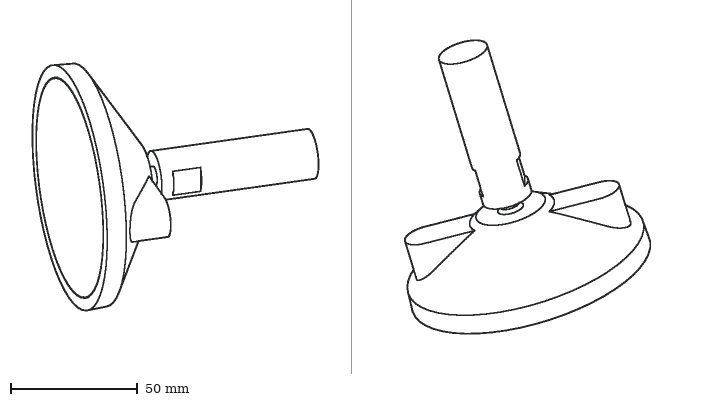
import cadquery as cq

rim_diameter = 98.0
rim_top_diameter = 97.1
rim_height = 8.1
cone_top_diameter = 28.5
cone_top = 30.0

pad_diameter = 87.5
pad_groove_diameter = 88.0
pad_groove_depth = 1.0

lug_span = 88.0
lug_width = 16.4
lug_top = 28.0

collar_diameter = 12.5
collar_tip_diameter = 7.8
collar_base_diameter = 10.5
collar_height = 1.5
neck_diameter = 7.8

stem_diameter = 20.0
stem_start = 35.0
total_length = 100.0
flat_start = 40.0
flat_length = 11.5
flats_across = 17.0


def cylinder(diameter, start, end):
    """Cylinder on the Y axis between two heights."""
    plane = cq.Plane(origin=(0, start, 0), xDir=(1, 0, 0), normal=(0, 1, 0))
    return cq.Workplane(plane).circle(diameter / 2).extrude(end - start)


def make_base():
    """Drafted rim, cone and flared collar turned about the Y axis."""
    profile = [
        (0, 0),
        (rim_diameter / 2, 0),
        (rim_top_diameter / 2, rim_height),
        (cone_top_diameter / 2, cone_top),
        (collar_base_diameter / 2, cone_top),
        (collar_tip_diameter / 2, cone_top + collar_height),
        (0, cone_top + collar_height),
    ]
    return cq.Workplane("XY").polyline(profile).close().revolve(360, (0, 0), (0, 1))


def make_lugs():
    """Round-ended bar across the cone, forming a lug on each side."""
    plane = cq.Plane(origin=(0, 0, 0), xDir=(1, 0, 0), normal=(0, 1, 0))
    return cq.Workplane(plane).slot2D(lug_span, lug_width).extrude(lug_top)


def make_stem():
    """Round stem with a pair of wrench flats facing +X and -X."""
    stem = cylinder(stem_diameter, stem_start, total_length)
    flat_depth = (stem_diameter - flats_across) / 2
    for side in (-1, 1):
        cutter = cq.Workplane("XY").box(flat_depth, flat_length, stem_diameter).translate(
            (side * (flats_across + flat_depth) / 2, flat_start + flat_length / 2, 0)
        )
        stem = stem.cut(cutter)
    return stem


pad_groove = cylinder(pad_groove_diameter, 0, pad_groove_depth).cut(
    cylinder(pad_diameter, 0, pad_groove_depth)
)
neck = cylinder(neck_diameter, cone_top, stem_start)

result = make_base().union(make_lugs()).union(neck).union(make_stem()).cut(pad_groove)